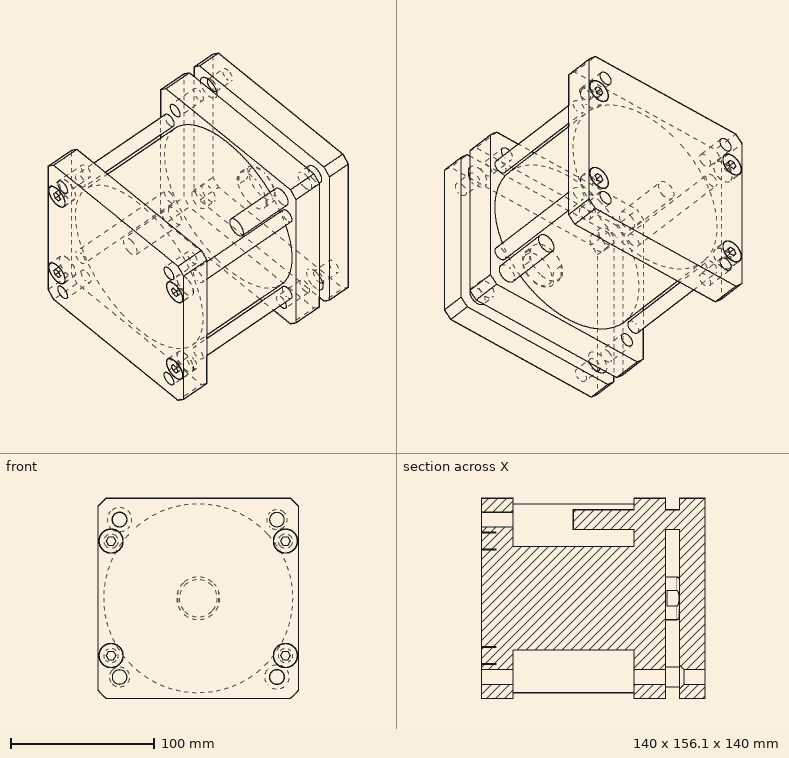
import cadquery as cq
import math


plate_width = 140.0
corner_turning_diameter = 190.0
end_cover_thickness = 22.2
guide_cover_thickness = 22.2
tool_plate_thickness = 18.0

barrel_length = 84.2
tool_plate_gap = 9.5
guide_cover_y = end_cover_thickness + barrel_length
guide_cover_back_y = guide_cover_y + guide_cover_thickness
tool_plate_y = guide_cover_back_y + tool_plate_gap

barrel_diameter = 132.0
tie_rod_diameter = 10.0
tie_rod_x = 60.8
tie_rod_z = 40.0

screw_bore_diameter = 17.0
screw_head_diameter = 16.5
screw_head_height = 10.0
socket_across_flats = 6.0
socket_depth = 5.0

corner_offset = 54.9
corner_hole_diameter = 10.1
countersink_diameter = 17.0
countersink_angle = 90
guide_pin_diameter = 14.0
guide_pin_protrusion = 42.5

piston_rod_diameter = 30.0
piston_rod_edge_radius = 1.9
piston_rod_across_flats = 28.0
flat_clearance = 0.8

SIGNS = (-1, 1)
tie_rod_centers = [(sx * tie_rod_x, sz * tie_rod_z) for sx in SIGNS for sz in SIGNS]
corner_centers = [(sx * corner_offset, sz * corner_offset) for sx in SIGNS for sz in SIGNS]
guide_pin_centers = [(x, z) for x, z in corner_centers if x * z > 0]
open_hole_centers = [(x, z) for x, z in corner_centers if x * z < 0]


def sketch_plane(y):
    """XZ plane at the given Y, extruding toward +Y; its local axes are X and -Z."""
    return cq.Workplane(cq.Plane(origin=(0, y, 0), xDir=(1, 0, 0), normal=(0, 1, 0)))


def cylinders(diameter, y, length, centers=((0, 0),)):
    """Equal cylinders along +Y at (x, z) centers."""
    local_centers = [(x, -z) for x, z in centers]
    return sketch_plane(y).pushPoints(local_centers).circle(diameter / 2).extrude(length)


def plate(y, thickness):
    """Square plate whose corners are turned to a common circle."""
    square = sketch_plane(y).rect(plate_width, plate_width).extrude(thickness)
    return square.intersect(cylinders(corner_turning_diameter, y, thickness))


def end_cover():
    holes = cylinders(corner_hole_diameter, 0, end_cover_thickness, corner_centers)
    bores = cylinders(screw_bore_diameter, 0, screw_head_height, tie_rod_centers)
    heads = cylinders(screw_head_diameter, 0, screw_head_height, tie_rod_centers)
    socket_across_corners = socket_across_flats / math.cos(math.pi / 6)
    sockets = (
        sketch_plane(0)
        .pushPoints(tie_rod_centers)
        .polygon(6, socket_across_corners)
        .extrude(socket_depth)
    )
    return plate(0, end_cover_thickness).cut(holes).cut(bores).union(heads).cut(sockets)


def guide_cover():
    holes = cylinders(corner_hole_diameter, guide_cover_y, guide_cover_thickness, open_hole_centers)
    return plate(guide_cover_y, guide_cover_thickness).cut(holes)


def tool_plate():
    """Plate with two through holes, countersunk on the side facing the cylinder."""
    return (
        plate(tool_plate_y, tool_plate_thickness)
        .faces("<Y")
        .workplane(origin=(0, tool_plate_y, 0))
        .pushPoints(open_hole_centers)
        .cskHole(corner_hole_diameter, countersink_diameter, countersink_angle)
    )


def guide_pins():
    length = guide_pin_protrusion + guide_cover_thickness + tool_plate_gap
    return cylinders(guide_pin_diameter, tool_plate_y - length, length, guide_pin_centers)


def piston_rod():
    """Rod end with a rounded rim and two wrench flats facing -X and +X."""
    rod = cylinders(piston_rod_diameter, guide_cover_back_y, tool_plate_gap)
    rod = rod.faces(">Y").edges().fillet(piston_rod_edge_radius)
    flats_length = tool_plate_gap - flat_clearance
    flats_y = guide_cover_back_y + flat_clearance
    outside_flats = (
        sketch_plane(flats_y)
        .rect(2 * piston_rod_diameter, 2 * piston_rod_diameter)
        .rect(piston_rod_across_flats, 2 * piston_rod_diameter)
        .extrude(flats_length)
    )
    return rod.cut(outside_flats)


barrel = cylinders(barrel_diameter, end_cover_thickness, barrel_length)
tie_rods = cylinders(tie_rod_diameter, end_cover_thickness, barrel_length, tie_rod_centers)

result = end_cover()
for body in (barrel, tie_rods, guide_cover(), guide_pins(), piston_rod(), tool_plate()):
    result = result.union(body)